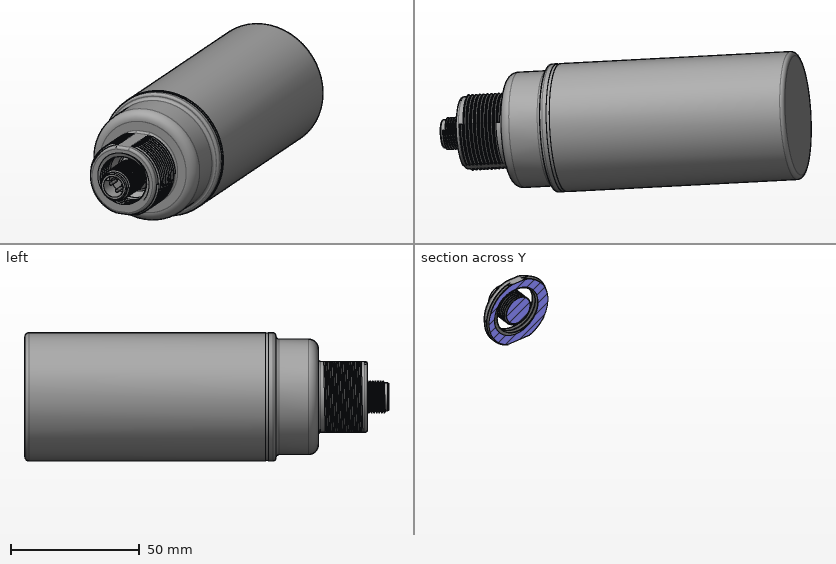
import cadquery as cq
import math

overall_length = 141.5

body_radius = 24.97
body_front = 43.9
rear_round = 1.7
shoulder_round = 1.1
groove_front = 46.7
groove_width = 1.3
groove_depth = 0.1

neck_radius = 22.5
neck_front = 27.3
neck_round = 4.0
neck_root_round = 1.3

collar_front = 8.2
collar_root_radius = 14.08
collar_crest_radius = 14.9
collar_pitch = 1.5
collar_thread_start = 10.2
collar_thread_turns = 10
collar_flat_half_width = 2.76
collar_front_round = 1.1
collar_flare = 0.8

bore_minor_radius = 9.6
bore_major_radius = 11.3
bore_pitch = 1.81
bore_thread_turns = 5
bore_runout_turn = 0.75
bore_depth = 13.5
bore_floor_radius = 8.0
bore_taper_length = 3.5

stub_root_radius = 5.5
stub_crest_radius = 6.2
stub_pitch = 1.0
stub_thread_start = 1.4
stub_thread_turns = 15
stub_tip_chamfer = 0.4
stub_base_radius = 7.4
stub_base_length = 1.1

socket_radius = 4.17
socket_depth = 7.8
pin_radius = 0.64
pin_circle_radius = 2.5
pin_count = 4
pin_length = 5.0
pin_tip_round = 0.4
key_corner = 2.0
key_setback = 0.7

thread_base_share = 0.88
thread_tip_share = 0.16

overlap = 0.1


def disc(radius, y_start, y_end):
    """Solid cylinder on the Y axis between two positions."""
    return cq.Workplane("XZ", origin=(0, y_start, 0)).circle(radius).extrude(y_start - y_end)


def cone(radius_start, radius_end, y_start, y_end):
    """Solid cone frustum on the Y axis between two positions."""
    return cq.Workplane(
        cq.Solid.makeCone(
            radius_start, radius_end, y_end - y_start, cq.Vector(0, y_start, 0), cq.Vector(0, 1, 0)
        )
    )


def thread_ridge(base_radius, tip_radius, pitch, turns, y_start):
    """Helical ridge whose V profile runs from base_radius to tip_radius, along +Y."""
    buried_radius = base_radius - overlap
    half_base = thread_base_share * pitch / 2
    half_tip = thread_tip_share * pitch / 2
    one_turn = cq.Wire.makeHelix(pitch, pitch, base_radius)
    coils = [one_turn.moved(cq.Location((0, 0, turn * pitch))) for turn in range(turns)]
    helix = cq.Wire.combine(coils)[0]
    ridge = (
        cq.Workplane("XZ")
        .polyline(
            [
                (buried_radius, -half_base),
                (tip_radius, -half_tip),
                (tip_radius, half_tip),
                (buried_radius, half_base),
            ]
        )
        .close()
        .sweep(cq.Workplane(helix), isFrenet=True)
    )
    return ridge.rotate((0, 0, 0), (1, 0, 0), -90).translate((0, y_start, 0))


def edges_at(radius, y):
    """Selector for the edges at position y that lie within a radius of the Y axis."""
    reach = radius + overlap
    return cq.selectors.BoxSelector(
        (-reach, y - overlap, -reach), (reach, y + overlap, reach), boundingbox=True
    )


def make_housing():
    body = disc(body_radius, body_front, overall_length)
    body = body.faces(">Y").edges().fillet(rear_round)
    body = body.faces("<Y").edges().fillet(shoulder_round)
    groove = disc(body_radius + overlap, groove_front, groove_front + groove_width).cut(
        disc(body_radius - groove_depth, groove_front, groove_front + groove_width)
    )
    neck = disc(neck_radius, neck_front, body_front + overlap)
    neck = neck.faces("<Y").edges().fillet(neck_round)
    root = edges_at(neck_radius, body_front)
    return body.cut(groove).union(neck).edges(root).fillet(neck_root_round)


def flatten(solid):
    """Trim a collar shape to the two flats facing +Z and -Z."""
    flat_height = math.sqrt(collar_root_radius**2 - collar_flat_half_width**2)
    slab = cq.Workplane().box(overall_length, overall_length, 2 * flat_height)
    return solid.intersect(slab)


def make_collar():
    core = disc(collar_root_radius, collar_front, neck_front)
    ridge = thread_ridge(
        collar_root_radius, collar_crest_radius, collar_pitch, collar_thread_turns, collar_thread_start
    )
    collar = flatten(core.union(ridge))
    return collar.faces("<Y").edges().fillet(collar_front_round)


def make_bore():
    bore_end = collar_front + bore_depth
    taper_start = bore_end - bore_taper_length
    bore = disc(bore_minor_radius, collar_front - overlap, taper_start)
    bore = bore.union(cone(bore_minor_radius, bore_floor_radius, taper_start, bore_end))
    groove_start = collar_front - bore_runout_turn * bore_pitch
    groove = thread_ridge(
        bore_minor_radius, bore_major_radius, bore_pitch, bore_thread_turns, groove_start
    )
    return bore.union(groove)


def make_socket():
    """Contact cavity, leaving the pins and the coding key standing inside."""
    socket = disc(socket_radius, -overlap, socket_depth)
    key = (
        cq.Workplane("XY")
        .box(socket_radius, socket_depth, socket_radius, centered=(True, False, True))
        .translate((-key_corner - socket_radius / 2, key_setback, key_corner + socket_radius / 2))
    )
    socket = socket.cut(key)
    for index in range(pin_count):
        angle = index * 2 * math.pi / pin_count
        offset = (pin_circle_radius * math.cos(angle), 0, pin_circle_radius * math.sin(angle))
        pin = disc(pin_radius, socket_depth - pin_length, socket_depth)
        pin = pin.faces("<Y").edges().fillet(pin_tip_round)
        socket = socket.cut(pin.translate(offset))
    return socket


def make_stub():
    floor = collar_front + bore_depth
    stub = disc(stub_root_radius, 0, floor + overlap).faces("<Y").chamfer(stub_tip_chamfer)
    ridge = thread_ridge(
        stub_root_radius, stub_crest_radius, stub_pitch, stub_thread_turns, stub_thread_start
    )
    base = cone(stub_root_radius, stub_base_radius, floor - stub_base_length, floor)
    return stub.cut(make_socket()).union(base).union(ridge)


def join_collar(housing, collar):
    """Unite collar and housing and fillet the concave corner on the neck face."""
    corner = edges_at(collar_root_radius, neck_front)
    return housing.union(collar).edges(corner).fillet(collar_flare)


shell = join_collar(make_housing(), make_collar())
result = shell.cut(make_bore(), clean=False).union(make_stub(), clean=False)